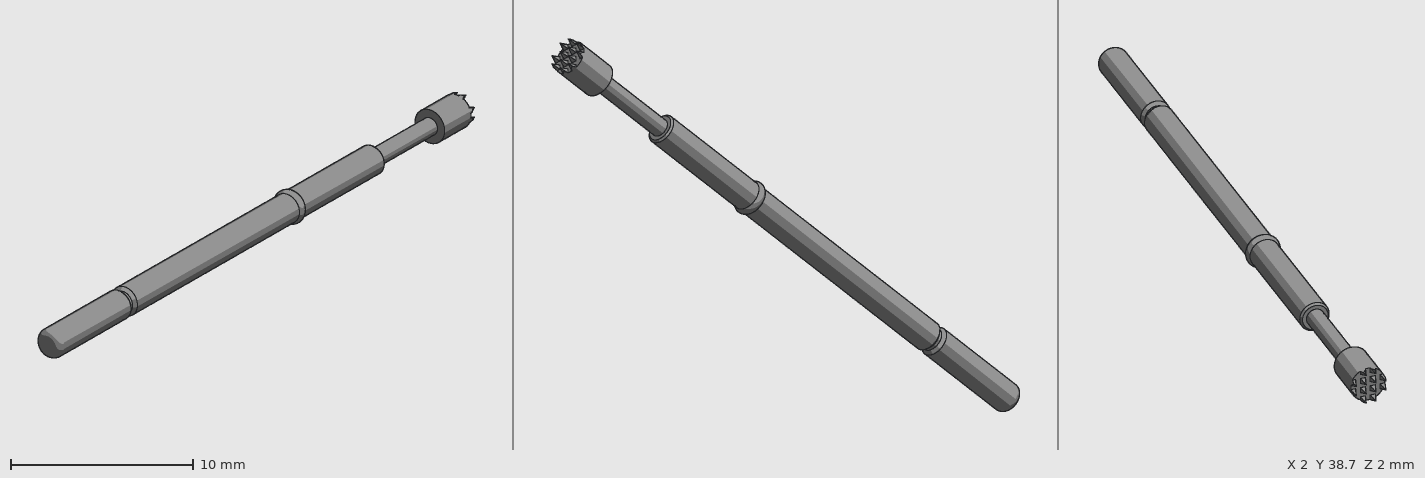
import cadquery as cq

total_length = 38.7
rear_end = -total_length / 2
front_end = total_length / 2

head_radius = 1.0
head_length = 2.98
stem_radius = 0.522

barrel_front = front_end - 8.32
barrel_radius = 0.87
mouth_chamfer = 0.1
rear_face_radius = 0.43
rear_rounding_length = 0.4
rear_arc_radius = 0.75
rear_arc_inset = 0.11

ring_center = front_end - 16.1
ring_width = 0.55
ring_radius = 1.0

groove_center = front_end - 31.8
groove_width = 0.58
groove_floor_width = 0.2
groove_depth = 0.2

tooth_pitch = 0.58
tooth_height = 0.5
tooth_root_width = 0.3
grooves_per_direction = 5


def revolve_about_y(outline):
    return outline.close().revolve(360, (0, 0, 0), (0, 1, 0))


def make_barrel():
    outline = (
        cq.Workplane("XY")
        .moveTo(0, rear_end)
        .lineTo(rear_face_radius, rear_end)
        .threePointArc(
            (rear_arc_radius, rear_end + rear_arc_inset),
            (barrel_radius, rear_end + rear_rounding_length),
        )
        .lineTo(barrel_radius, barrel_front - mouth_chamfer)
        .lineTo(barrel_radius - mouth_chamfer, barrel_front)
        .lineTo(0, barrel_front)
    )
    return revolve_about_y(outline)


def make_press_ring():
    start = ring_center - ring_width / 2
    end = ring_center + ring_width / 2
    outline = (
        cq.Workplane("XY")
        .moveTo(0, start)
        .lineTo(barrel_radius, start)
        .threePointArc((ring_radius, ring_center), (barrel_radius, end))
        .lineTo(0, end)
    )
    return revolve_about_y(outline)


def make_crimp_groove():
    start = groove_center - groove_width / 2
    end = groove_center + groove_width / 2
    floor_radius = barrel_radius - groove_depth
    outline = (
        cq.Workplane("XY")
        .moveTo(head_radius, start)
        .lineTo(barrel_radius, start)
        .lineTo(floor_radius, groove_center - groove_floor_width / 2)
        .lineTo(floor_radius, groove_center + groove_floor_width / 2)
        .lineTo(barrel_radius, end)
        .lineTo(head_radius, end)
    )
    return revolve_about_y(outline)


def make_plunger():
    """Head and stem; the stem reaches a little way into the barrel so the two join."""
    stem_length = front_end - barrel_front + mouth_chamfer
    front_plane = cq.Workplane("XZ", origin=(0, front_end, 0))
    stem = front_plane.circle(stem_radius).extrude(stem_length)
    head = front_plane.circle(head_radius).extrude(head_length)
    return stem.union(head)


def make_tooth_groove(offset):
    """Tapered groove along Z: one pitch wide at the tooth tips, narrower at its flat floor."""
    half_pitch = tooth_pitch / 2
    half_floor = (tooth_pitch - tooth_root_width) / 2
    floor = front_end - tooth_height
    return (
        cq.Workplane("XY")
        .moveTo(offset - half_pitch, front_end)
        .lineTo(offset - half_floor, floor)
        .lineTo(offset + half_floor, floor)
        .lineTo(offset + half_pitch, front_end)
        .close()
        .extrude(2 * head_radius, both=True)
    )


def cut_crown(plunger):
    """Cut the same row of grooves along Z and along X."""
    first_offset = -(grooves_per_direction - 1) / 2 * tooth_pitch
    for index in range(grooves_per_direction):
        groove = make_tooth_groove(first_offset + index * tooth_pitch)
        plunger = plunger.cut(groove)
        plunger = plunger.cut(groove.rotate((0, 0, 0), (0, 1, 0), 90))
    return plunger


barrel = make_barrel().union(make_press_ring()).cut(make_crimp_groove())
result = barrel.union(cut_crown(make_plunger()))